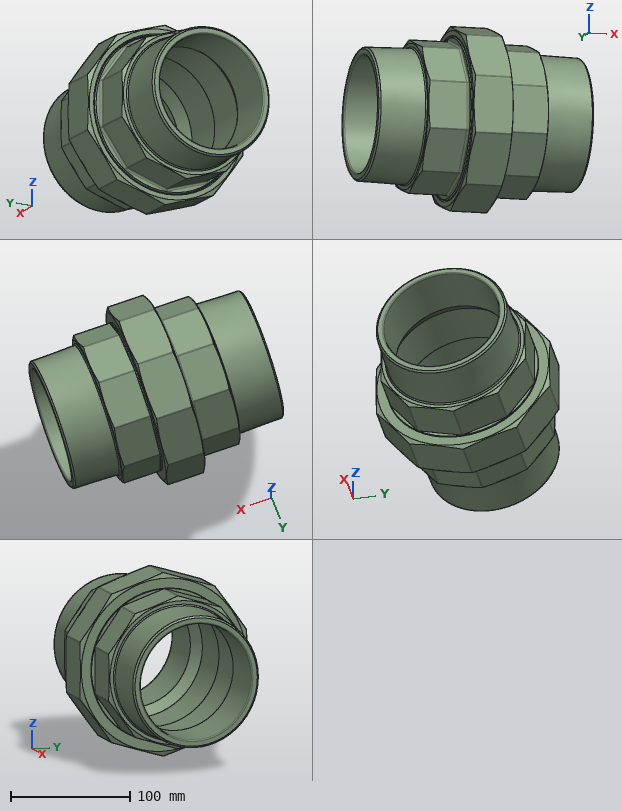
import cadquery as cq
import math


END = 94.0
WRENCH_OUTER = 52.6
WRENCH_INNER = 19.2
NUT_LEFT = -16.7
NUT_RIGHT = 18.0
JOINT = 0.0

SIDES = 10
NUT_FLATS = 150.0
WRENCH_FLATS = 124.8
CORNER_FILLET = 1.1
FACE_CHAMFER_ANGLE = 20.0
NUT_FACE_DIAMETER = 148.5
WRENCH_FACE_DIAMETER = 123.3

BORE = 100.0
CHAMBER = 113.0
CHAMBER_CONE_START = 50.2
CHAMBER_CONE_ANGLE = 30.0
MOUTH_FILLET = 1.0
PIPE_TIP = 113.0
PIPE_ROOT = 115.0
TIP_CHAMFER = 1.5
ROOT_CHAMFER = 1.1

THREAD = 138.0
THREAD_FACE = 136.0
NUT_MOUTH = 140.0
COLLAR = 136.7
COLLAR_LENGTH = 9.4
NECK = 131.0
LIP_BORE = 131.5
ROOT_FILLET = 1.9

THREAD_START = ROOT_FILLET - WRENCH_INNER

def turned(profile):
    """Solid of revolution about X from (x, diameter) points; the axis closes the outline."""
    points = [(x, diameter / 2) for x, diameter in profile]
    outline = [(points[0][0], 0.0)] + points + [(points[-1][0], 0.0)]
    return cq.Workplane("XY").polyline(outline).close().revolve(360, (0, 0, 0), (1, 0, 0))

def decagon(start, end, flats):
    """Decagonal prism along X with a corner at the top and rounded corners."""
    corner_diameter = flats / math.cos(math.pi / SIDES)
    plane = cq.Workplane("YZ").workplane(offset=start).transformed(rotate=(0, 0, 90))
    prism = plane.polygon(SIDES, corner_diameter).extrude(end - start)
    return prism.edges("|X").fillet(CORNER_FILLET)

def face_chamfer_length(flats, face_diameter):
    """Axial length of the turned chamfer at the sharp corners of a decagon."""
    corner_diameter = flats / math.cos(math.pi / SIDES)
    return (corner_diameter - face_diameter) / 2 * math.tan(math.radians(FACE_CHAMFER_ANGLE))

def wrench_section(inner_end):
    """Left wrench section, with its outer corners chamfered, up to the given station."""
    corner_diameter = WRENCH_FLATS / math.cos(math.pi / SIDES)
    chamfer = face_chamfer_length(WRENCH_FLATS, WRENCH_FACE_DIAMETER)
    envelope = turned([
        (-WRENCH_OUTER, WRENCH_FACE_DIAMETER),
        (-WRENCH_OUTER + chamfer, corner_diameter),
        (inner_end, corner_diameter),
    ])
    return decagon(-WRENCH_OUTER, inner_end, WRENCH_FLATS).intersect(envelope)

def pipe_stub():
    """Tapered left pipe stub, with a chamfered tip and a short widening at the root."""
    stub = turned([
        (-END, PIPE_TIP),
        (-WRENCH_OUTER - ROOT_CHAMFER, PIPE_ROOT),
        (-WRENCH_OUTER, PIPE_ROOT + 2 * ROOT_CHAMFER),
    ])
    return stub.faces("<X").edges().chamfer(TIP_CHAMFER)

def bore_through(tail):
    """Left tail bored from its open end to the joint, widening to the chamber."""
    cone_length = (CHAMBER - BORE) / 2 / math.tan(math.radians(CHAMBER_CONE_ANGLE))
    bore = turned([
        (-END, BORE),
        (-CHAMBER_CONE_START, BORE),
        (-CHAMBER_CONE_START + cone_length, CHAMBER),
        (JOINT, CHAMBER),
    ])
    mouth = cq.selectors.RadiusNthSelector(0)
    return tail.cut(bore).faces("<X").edges(mouth).fillet(MOUTH_FILLET)

def make_left_tail():
    thread_chamfer = (THREAD - THREAD_FACE) / 2
    thread = turned([
        (THREAD_START, THREAD_FACE),
        (THREAD_START + thread_chamfer, THREAD),
        (JOINT, THREAD),
    ])
    tail = wrench_section(THREAD_START).union(thread)
    thread_face = tail.faces("|X").faces(">X[1]").val()
    foot = thread_face.innerWires()[0].Edges()
    tail = tail.newObject(foot).fillet(ROOT_FILLET)
    return bore_through(tail.union(pipe_stub()))

def make_right_tail():
    wrench_and_pipe = wrench_section(-WRENCH_INNER).union(pipe_stub())
    neck = turned([(-WRENCH_INNER, NECK), (JOINT, NECK)])
    collar = turned([(JOINT - COLLAR_LENGTH, COLLAR), (JOINT, COLLAR)])
    return bore_through(wrench_and_pipe.union(neck).union(collar)).mirror("YZ")

def make_nut():
    corner_diameter = NUT_FLATS / math.cos(math.pi / SIDES)
    chamfer = face_chamfer_length(NUT_FLATS, NUT_FACE_DIAMETER)
    envelope = turned([
        (NUT_LEFT, NUT_FACE_DIAMETER),
        (NUT_LEFT + chamfer, corner_diameter),
        (NUT_RIGHT - chamfer, corner_diameter),
        (NUT_RIGHT, NUT_FACE_DIAMETER),
    ])
    mouth_chamfer = (NUT_MOUTH - THREAD) / 2
    collar_end = JOINT + COLLAR_LENGTH
    hole = turned([
        (NUT_LEFT, NUT_MOUTH),
        (NUT_LEFT + mouth_chamfer, THREAD),
        (JOINT, THREAD),
        (JOINT, COLLAR),
        (collar_end, COLLAR),
        (collar_end, LIP_BORE),
        (NUT_RIGHT, LIP_BORE),
    ])
    return decagon(NUT_LEFT, NUT_RIGHT, NUT_FLATS).intersect(envelope).cut(hole)

left_tail = make_left_tail()
right_tail = make_right_tail()
nut = make_nut()

bodies = [body.solids().val() for body in (left_tail, right_tail, nut)]
result = cq.Compound.makeCompound(bodies)